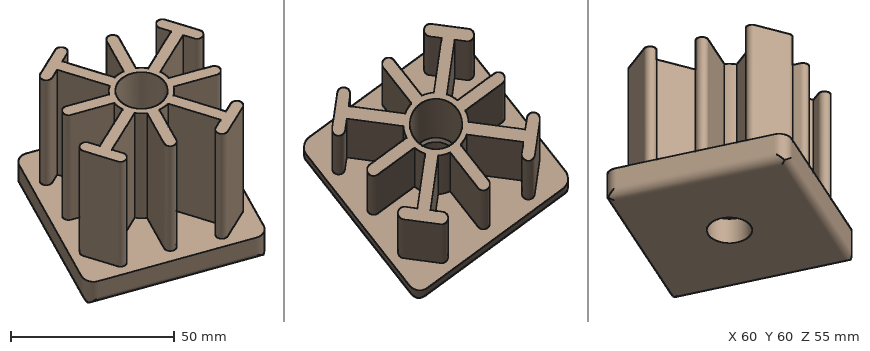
import cadquery as cq

cap_side = 60.0
cap_height = 10.0
corner_radius = 4.0
bottom_fillet = 3.0

total_height = 55.0
insert_height = total_height - cap_height
hub_diameter = 20.0
rib_thickness = 4.0
straight_rib_reach = 26.0
diagonal_rib_reach = 31.3
cross_bar_length = 15.5

wide_bore_diameter = 16.0
narrow_bore_diameter = 13.85
shoulder_height = (wide_bore_diameter - narrow_bore_diameter) / 2

rib_count = 4
rib_step = 360 / rib_count
diagonal_angle = rib_step / 2


def make_cap():
    """Rounded square plate; its rounded bottom edges meet in mitres at the corners."""
    plate = cq.Workplane("XY").box(cap_side, cap_side, cap_height, centered=(True, True, False))
    rounded_plate = plate.edges("|Z").fillet(corner_radius)
    along_x = plate.edges("|X and <Z").fillet(bottom_fillet)
    along_y = plate.edges("|Y and <Z").fillet(bottom_fillet)
    return rounded_plate.intersect(along_x).intersect(along_y)


def insert_plane():
    """Workplane on the top face of the cap."""
    return cq.Workplane("XY").workplane(offset=cap_height)


def straight_rib():
    """Rib along +X from the axis, with a round outer end."""
    tip_centre = straight_rib_reach - rib_thickness / 2
    web = insert_plane().center(tip_centre / 2, 0).rect(tip_centre, rib_thickness).extrude(insert_height)
    tip = insert_plane().center(tip_centre, 0).circle(rib_thickness / 2).extrude(insert_height)
    return web.union(tip)


def tee_rib():
    """Rib along +X from the axis, ending in a round-ended cross bar."""
    bar_centre = diagonal_rib_reach - rib_thickness / 2
    web = insert_plane().center(bar_centre / 2, 0).rect(bar_centre, rib_thickness).extrude(insert_height)
    bar = insert_plane().center(bar_centre, 0).slot2D(cross_bar_length, rib_thickness, 90).extrude(insert_height)
    return web.union(bar)


def make_insert():
    """Hub with straight ribs on the axes and tee ribs on the diagonals."""
    insert = insert_plane().circle(hub_diameter / 2).extrude(insert_height)
    for index in range(rib_count):
        angle = index * rib_step
        insert = insert.union(straight_rib().rotate((0, 0, 0), (0, 0, 1), angle))
        insert = insert.union(tee_rib().rotate((0, 0, 0), (0, 0, 1), angle + diagonal_angle))
    return insert


def make_bore():
    """Through bore: wide in the insert, a conical shoulder, then narrow in the cap."""
    wide = insert_plane().circle(wide_bore_diameter / 2).extrude(insert_height)
    narrow = cq.Workplane("XY").circle(narrow_bore_diameter / 2).extrude(cap_height)
    shoulder_bottom = insert_plane().workplane(offset=-shoulder_height).circle(narrow_bore_diameter / 2)
    shoulder = shoulder_bottom.workplane(offset=shoulder_height).circle(wide_bore_diameter / 2).loft(ruled=True)
    return wide.union(narrow).union(shoulder)


result = make_cap().union(make_insert()).cut(make_bore())